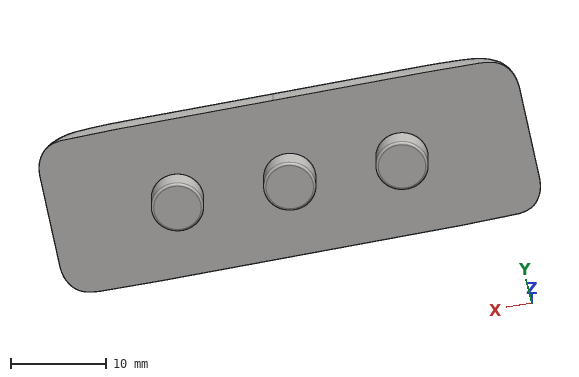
import cadquery as cq
import math

length = 51.3
depth = 18.0

stem_diameter = 5.5
stem_height = 2.5
stem_spacing = 12.0
stem_edge_radius = 0.25
stem_overlap = 0.5

base_exponent_x = 14.0
base_exponent_y = 8.0

top_length = 49.45
top_depth = 16.6
top_exponent_x = 9.0
top_exponent_y = 5.0
top_shift = 0.25

points_per_half = 24

tilt = 6.5
top_center_height = 4.3

dish_rise = 0.45
dish_power = 4
dish_spans = 12
dish_center_height = 3.6
rim_radius = 0.6

mid_fraction = 0.35
mid_inset_fraction = 0.15


def between(start, end, fraction):
    return start + (end - start) * fraction


def outline_point(half_x, half_y, exponent_x, exponent_y, angle):
    """Point of the curve |x / half_x| ** exponent_x + |y / half_y| ** exponent_y = 1."""
    cosine = math.cos(angle)
    sine = math.sin(angle)
    exponent = math.sqrt(exponent_x * exponent_y)
    share_x = abs(cosine) ** exponent
    share_y = abs(sine) ** exponent
    total = share_x + share_y
    return cq.Vector(
        math.copysign(half_x * (share_x / total) ** (1 / exponent_x), cosine),
        math.copysign(half_y * (share_y / total) ** (1 / exponent_y), sine),
    )


def outline(size_x, size_y, exponent_x, exponent_y):
    """Closed superellipse made of two mirrored halves that meet at X = 0."""
    halves = []
    for start_angle, direction in ((-math.pi / 2, 1), (math.pi / 2, -1)):
        angles = [start_angle + math.pi * step / points_per_half for step in range(points_per_half + 1)]
        points = [outline_point(size_x / 2, size_y / 2, exponent_x, exponent_y, angle) for angle in angles]
        tangents = [cq.Vector(direction, 0), cq.Vector(-direction, 0)]
        halves.append(cq.Edge.makeSpline(points, tangents))
    return cq.Wire.assembleEdges(halves)


def section(height_fraction, inset_fraction):
    """Wall section between the footprint (0) and the tilted top outline (1)."""
    wire = outline(
        between(length, top_length, inset_fraction),
        between(depth, top_depth, inset_fraction),
        between(base_exponent_x, top_exponent_x, height_fraction),
        between(base_exponent_y, top_exponent_y, height_fraction),
    )
    center = cq.Vector(0, top_shift * inset_fraction, top_center_height * height_fraction)
    return wire.moved(cq.Location(center, cq.Vector(1, 0, 0), -tilt * height_fraction))


def make_walls():
    sections = [section(0, 0), section(mid_fraction, mid_inset_fraction), section(1, 1)]
    return cq.Workplane(cq.Solid.makeLoft(sections))


def make_dish_cutter():
    """Block with a gently curved underside, tilted like the top."""
    half = length / 2
    cutter_height = 2 * top_center_height
    positions = [between(-1, 1, step / dish_spans) for step in range(dish_spans + 1)]
    curve = [(half * position, dish_rise * position**dish_power) for position in positions]
    return (
        cq.Workplane("XZ", origin=(0, depth, 0))
        .moveTo(*curve[0])
        .spline(curve[1:], includeCurrent=True)
        .lineTo(half, cutter_height)
        .lineTo(-half, cutter_height)
        .close()
        .extrude(2 * depth)
        .rotate((0, 0, 0), (1, 0, 0), -tilt)
        .translate((0, 0, dish_center_height))
    )


def make_stems():
    return (
        cq.Workplane("XY")
        .workplane(offset=-stem_height)
        .pushPoints([(index * stem_spacing, 0) for index in (-1, 0, 1)])
        .circle(stem_diameter / 2)
        .extrude(stem_height + stem_overlap)
        .faces("<Z")
        .edges()
        .fillet(stem_edge_radius)
    )


cap = make_walls().cut(make_dish_cutter())
cap = cap.faces(">Z").edges().fillet(rim_radius)
result = cap.union(make_stems())